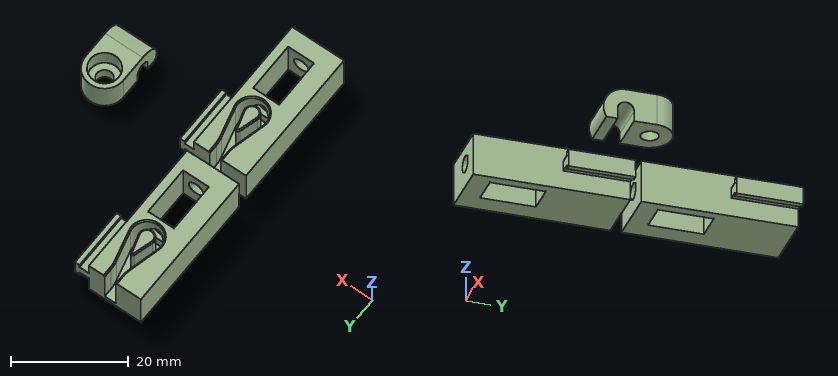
import cadquery as cq
import math

TOTAL_X = 36.5
TOTAL_Y = 58.0

BLOCK_WIDTH = 11.0
BLOCK_LENGTH = 28.0
BLOCK_HEIGHT = 8.0
BLOCK_PITCH = TOTAL_Y - BLOCK_LENGTH
BLOCK_COUNT = 2
AXIS_X = 6.5

RAIL_LENGTH = 11.95
RAIL_REACH = 2.95
RAIL_HEAD_THICKNESS = 1.0
RAIL_HEAD_HEIGHT = 3.3
RAIL_STEM_HEIGHT = 1.9

WINDOW_WIDTH = 5.45
WINDOW_LENGTH = 10.0
WINDOW_FRONT_WALL = 3.55

FLOOR_THICKNESS = 1.0
GROOVE_WIDTH = 1.5
GROOVE_TAPER_ANGLE = 14.2
NECK_WIDTH = 2.3
NECK_BLEND_RADIUS = 7.55
ISLAND_RADIUS = 1.5
ISLAND_TIP_RADIUS = 0.4
ISLAND_TIP_DISTANCE = 3.95
ISLAND_FROM_BACK = 10.45
EDGE_CHAMFER = 0.25
CHAMFER_ANGLE = 45
ISLAND_Y = BLOCK_LENGTH - ISLAND_FROM_BACK

SCREW_HOLE_DIAMETER = 3.0
AXIS_Z = (FLOOR_THICKNESS + BLOCK_HEIGHT) / 2

CLIP_WIDTH = 8.0
CLIP_HEIGHT = 6.0
CLIP_HOLE_Y = 24.55
CLIP_HOLE_DIAMETER = 3.2
COUNTERBORE_DIAMETER = 6.0
COUNTERBORE_DEPTH = 3.5
HOOK_RADIUS = 4.0
HOOK_OFFSET = 5.5
HOOK_SLOT_WIDTH = 2.9


def block_plane(z):
    """Horizontal workplane centred on the round end of the island."""
    return cq.Workplane("XY", origin=(AXIS_X, ISLAND_Y, z))


def teardrop(z):
    """Teardrop wire: a round front end and a smaller round tip, joined by tangent sides."""
    lean = math.asin((ISLAND_RADIUS - ISLAND_TIP_RADIUS) / ISLAND_TIP_DISTANCE)
    side_x, side_y = math.cos(lean), math.sin(lean)
    tip_y = ISLAND_TIP_DISTANCE + ISLAND_TIP_RADIUS * side_y
    return (
        block_plane(z)
        .moveTo(-ISLAND_RADIUS * side_x, ISLAND_RADIUS * side_y)
        .threePointArc((0, -ISLAND_RADIUS), (ISLAND_RADIUS * side_x, ISLAND_RADIUS * side_y))
        .lineTo(ISLAND_TIP_RADIUS * side_x, tip_y)
        .threePointArc((0, ISLAND_TIP_DISTANCE + ISLAND_TIP_RADIUS), (-ISLAND_TIP_RADIUS * side_x, tip_y))
        .close()
    )


def groove_outline(z, growth):
    """Groove wire: round end, tapering sides and a neck blended into them, running on past the back face.

    The wire is offset outward by growth.
    """
    radius = ISLAND_RADIUS + GROOVE_WIDTH + growth
    half_neck = NECK_WIDTH / 2 + growth
    blend = NECK_BLEND_RADIUS - growth
    lean = math.radians(GROOVE_TAPER_ANGLE)
    side_x, side_y = radius * math.cos(lean), radius * math.sin(lean)
    corner_y = side_y + (side_x - half_neck) / math.tan(lean)
    tangent = blend * math.tan(lean / 2)
    blend_x = half_neck + tangent * math.sin(lean)
    blend_y = corner_y - tangent * math.cos(lean)
    middle_x = half_neck + blend * (1 - math.cos(lean / 2))
    middle_y = corner_y + tangent - blend * math.sin(lean / 2)
    end_y = ISLAND_FROM_BACK + NECK_WIDTH
    return (
        block_plane(z)
        .moveTo(-side_x, side_y)
        .threePointArc((0, -radius), (side_x, side_y))
        .lineTo(blend_x, blend_y)
        .threePointArc((middle_x, middle_y), (half_neck, corner_y + tangent))
        .lineTo(half_neck, end_y)
        .lineTo(-half_neck, end_y)
        .lineTo(-half_neck, corner_y + tangent)
        .threePointArc((-middle_x, middle_y), (-blend_x, blend_y))
        .close()
    )


def make_groove():
    """Cutter for the groove, flared by a chamfer at the top face."""
    depth = BLOCK_HEIGHT - FLOOR_THICKNESS
    groove = groove_outline(FLOOR_THICKNESS, 0).extrude(depth)
    flare = groove_outline(BLOCK_HEIGHT, EDGE_CHAMFER).extrude(-EDGE_CHAMFER, taper=CHAMFER_ANGLE)
    return groove.union(flare)


def make_island():
    """Chamfered teardrop standing on the groove floor."""
    height = BLOCK_HEIGHT - FLOOR_THICKNESS
    return teardrop(FLOOR_THICKNESS).extrude(height).faces(">Z").chamfer(EDGE_CHAMFER)


def make_rail():
    """T-section rail along the rear part of the +X face."""
    rail_start = BLOCK_LENGTH - RAIL_LENGTH
    stem = cq.Workplane("XY").box(RAIL_REACH, RAIL_LENGTH, RAIL_STEM_HEIGHT, centered=(False, False, True))
    head = (
        cq.Workplane("XY")
        .box(RAIL_HEAD_THICKNESS, RAIL_LENGTH, RAIL_HEAD_HEIGHT, centered=(False, False, True))
        .translate((RAIL_REACH - RAIL_HEAD_THICKNESS, 0, 0))
    )
    return stem.union(head).translate((BLOCK_WIDTH, rail_start, AXIS_Z))


def make_belt_block():
    """Block with window, belt groove, island, rail and a screw hole running into the groove."""
    block = cq.Workplane("XY").box(BLOCK_WIDTH, BLOCK_LENGTH, BLOCK_HEIGHT, centered=False)
    window = (
        cq.Workplane("XY")
        .box(WINDOW_WIDTH, WINDOW_LENGTH, BLOCK_HEIGHT, centered=(True, False, False))
        .translate((AXIS_X, WINDOW_FRONT_WALL, 0))
    )
    screw_hole = (
        cq.Workplane("XZ", origin=(AXIS_X, 0, AXIS_Z))
        .circle(SCREW_HOLE_DIAMETER / 2)
        .extrude(-ISLAND_Y)
    )
    return (
        block.cut(window)
        .cut(screw_hole)
        .cut(make_groove())
        .union(make_island())
        .union(make_rail())
    )


def make_clip():
    """Clip with a round counterbored end and a curled hook around a slot open at the bottom."""
    center_x = TOTAL_X - CLIP_WIDTH / 2
    end_radius = CLIP_WIDTH / 2
    hook_y = CLIP_HOLE_Y - HOOK_OFFSET
    hook_z = CLIP_HEIGHT - HOOK_RADIUS
    slot_radius = HOOK_SLOT_WIDTH / 2

    body = (
        cq.Workplane("XY")
        .box(CLIP_WIDTH, HOOK_OFFSET, CLIP_HEIGHT, centered=(True, False, False))
        .translate((center_x, hook_y, 0))
    )
    round_end = cq.Workplane("XY", origin=(center_x, CLIP_HOLE_Y, 0)).circle(end_radius).extrude(CLIP_HEIGHT)
    side_plane = cq.Workplane("YZ", origin=(center_x - end_radius, hook_y, hook_z))
    curl_y = -math.sqrt(HOOK_RADIUS**2 - hook_z**2)
    hook = (
        side_plane.moveTo(0, HOOK_RADIUS)
        .threePointArc((-HOOK_RADIUS, 0), (curl_y, -hook_z))
        .lineTo(0, -hook_z)
        .close()
        .extrude(CLIP_WIDTH)
    )
    slot = (
        side_plane.moveTo(-slot_radius, -hook_z)
        .lineTo(-slot_radius, 0)
        .threePointArc((0, slot_radius), (slot_radius, 0))
        .lineTo(slot_radius, -hook_z)
        .close()
        .extrude(CLIP_WIDTH)
    )
    return (
        body.union(round_end)
        .union(hook)
        .cut(slot)
        .faces(">Z")
        .workplane(origin=(center_x, CLIP_HOLE_Y, CLIP_HEIGHT))
        .cboreHole(CLIP_HOLE_DIAMETER, COUNTERBORE_DIAMETER, COUNTERBORE_DEPTH)
    )


belt_block = make_belt_block()
belt_blocks = [belt_block.translate((0, i * BLOCK_PITCH, 0)) for i in range(BLOCK_COUNT)]
clip = make_clip()

result = cq.Compound.makeCompound([*[block.val() for block in belt_blocks], clip.val()])